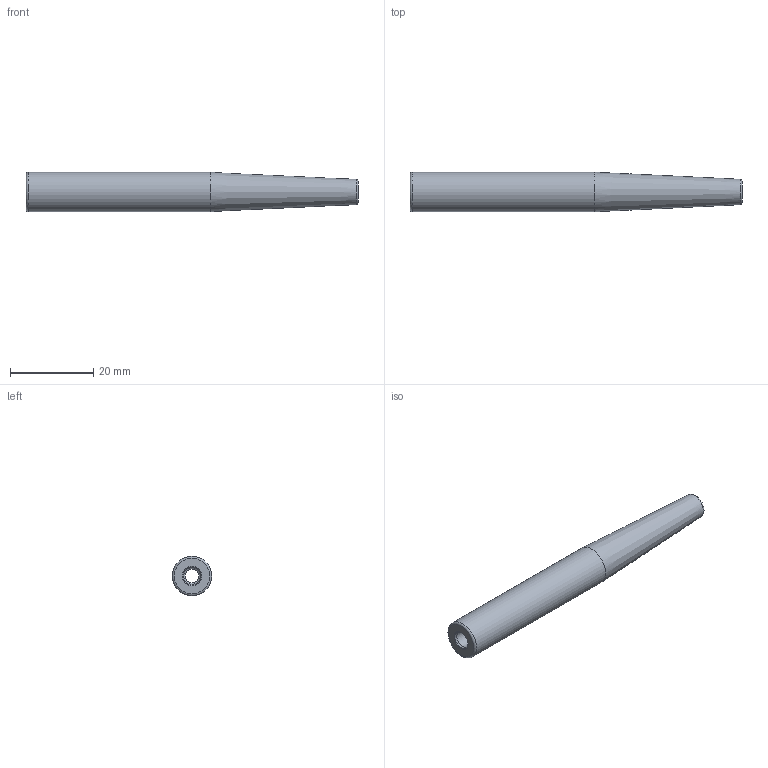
import cadquery as cq

total_length = 80.0
shank_diameter = 9.525
straight_length = 44.5
tip_diameter = 6.1
rim_radius = 0.5

bore_diameter = 3.175
counterbore_diameter = 4.0
counterbore_depth = 10.0
step_length = 0.25
mouth_diameter = 4.56
mouth_depth = 0.5
mouth_rim_radius = 0.2


def revolve_about_x(outline):
    """Revolve a half section, given as (x, radius) points, about the X axis."""
    return (
        cq.Workplane("XY")
        .polyline(outline)
        .close()
        .revolve(360, (0, 0, 0), (1, 0, 0))
    )


def make_body():
    """Straight shank followed by a cone, with both end rims rounded."""
    body = revolve_about_x([
        (0, 0),
        (0, shank_diameter / 2),
        (straight_length, shank_diameter / 2),
        (total_length, tip_diameter / 2),
        (total_length, 0),
    ])
    return body.faces("<X or >X").edges().fillet(rim_radius)


def make_bore():
    """Through bore with a flared mouth and a wider counterbore that ends in a short cone."""
    bore_radius = bore_diameter / 2
    counterbore_radius = counterbore_diameter / 2
    return revolve_about_x([
        (0, 0),
        (0, mouth_diameter / 2),
        (mouth_depth, counterbore_radius),
        (counterbore_depth, counterbore_radius),
        (counterbore_depth + step_length, bore_radius),
        (total_length, bore_radius),
        (total_length, 0),
    ])


def round_mouth(part):
    """Round the rim where the flared mouth meets the large end face."""
    mouth_rim = part.faces("<X").edges(cq.selectors.RadiusNthSelector(0))
    return mouth_rim.fillet(mouth_rim_radius)


result = round_mouth(make_body().cut(make_bore()))